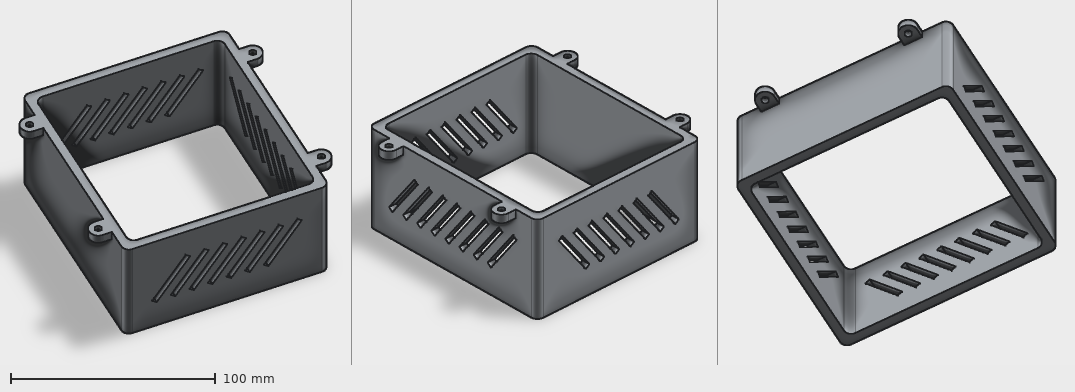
import cadquery as cq

overall_depth = 130.0
frame_width = 120.0
frame_height = 57.5
wall = 5.0
corner_radius = 4.0

tab_width = 10.0
tab_thickness = wall
tab_reach = tab_width
tab_spacing = 80.0
tab_hole_diameter = 3.6

slot_length = 30.0
slot_width = 3.0
slot_tilt = 53.1
slot_pitch = 10.0
side_slot_count = 7
back_slot_count = 8

frame_depth = overall_depth - 2 * tab_reach
tab_radius = tab_width / 2
tab_hole_y = overall_depth / 2 - tab_radius
mid_height = frame_height / 2


def make_rounded_block(width, depth):
    """Full-height block with rounded vertical edges, standing on Z = 0."""
    return (
        cq.Workplane("XY")
        .rect(width, depth)
        .extrude(frame_height)
        .edges("|Z")
        .fillet(corner_radius)
    )


def make_frame():
    """Rectangular tube, open at the top and bottom."""
    outside = make_rounded_block(frame_width, frame_depth)
    opening = make_rounded_block(frame_width - 2 * wall, frame_depth - 2 * wall)
    return outside.cut(opening)


def make_tab(x, side):
    """Round-ended tab with a screw hole; side is +1 for the +Y wall and -1 for the -Y wall."""
    left = x - tab_radius
    right = x + tab_radius
    root_y = side * (frame_depth - wall) / 2
    hole_y = side * tab_hole_y
    tip_y = side * overall_depth / 2
    underside = cq.Workplane("XY", origin=(0, 0, frame_height - tab_thickness))
    tab = (
        underside
        .moveTo(left, root_y)
        .lineTo(left, hole_y)
        .threePointArc((x, tip_y), (right, hole_y))
        .lineTo(right, root_y)
        .close()
        .extrude(tab_thickness)
    )
    hole = underside.moveTo(x, hole_y).circle(tab_hole_diameter / 2).extrude(tab_thickness)
    return tab.cut(hole)


def cut_slots(body, plane, count, cut_depth):
    """Cut a centred row of slanted slots from the plane, cut_depth along its normal."""
    row_start = -(count - 1) * slot_pitch / 2
    for i in range(count):
        slot = (
            cq.Workplane(plane)
            .center(row_start + i * slot_pitch, 0)
            .transformed(rotate=(0, 0, slot_tilt))
            .rect(slot_length, slot_width)
            .extrude(cut_depth)
        )
        body = body.cut(slot)
    return body


result = make_frame()

for tab_x in (-tab_spacing / 2, tab_spacing / 2):
    for tab_side in (-1, 1):
        result = result.union(make_tab(tab_x, tab_side))

side_plane = cq.Plane(origin=(-frame_width / 2, 0, mid_height), xDir=(0, 1, 0), normal=(1, 0, 0))
result = cut_slots(result, side_plane, side_slot_count, frame_width)

back_inside_y = frame_depth / 2 - wall
back_plane = cq.Plane(origin=(0, back_inside_y, mid_height), xDir=(-1, 0, 0), normal=(0, 1, 0))
result = cut_slots(result, back_plane, back_slot_count, wall)